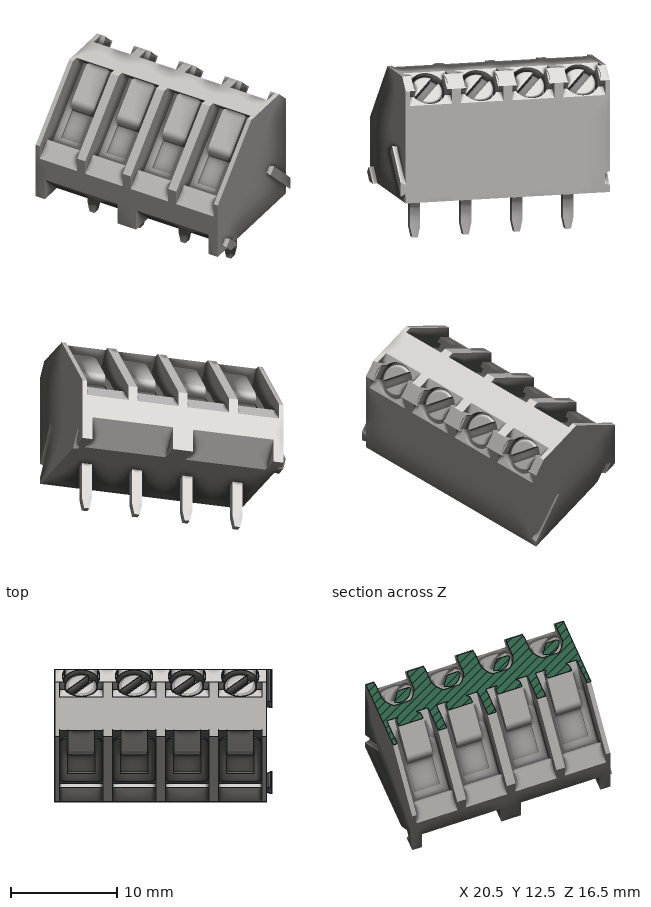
import cadquery as cq
import math

POLES = 4
POLES_PER_MODULE = 2
PITCH = 5.0
LENGTH = POLES * PITCH
DEPTH = 12.5
HEIGHT = 12.0
FRONT_SLOPE = 6.15
BACK_CHAMFER = 1.2
POCKET_WIDTH = 4.12
OVERCUT = 2.05

MODULE_LENGTH = POLES_PER_MODULE * PITCH
RELIEF_SIZE = 2.21
RELIEF_WALL = 1.0

LEDGE_DEPTH = 1.0
LIP_THICKNESS = 0.53
CAVITY_DEPTH = 2.3
CAVITY_START = 0.06
LIP_END = 0.95
POCKET_END = 9.12

PLATE_START = 0.62
PLATE_END = 6.4
PLATE_WIDTH = 3.98
PLATE_THICKNESS = 0.2
PLATE_TOP_RADIUS = 0.74
PLATE_BOTTOM_RADIUS = 0.5

WINDOW_START = 1.66
WINDOW_WIDTH = 2.6

BUTTON_START = 4.49
BUTTON_WIDTH = 2.5
BUTTON_HEIGHT = 1.02
BUTTON_NOSE_RADIUS = 0.88
BUTTON_CORNER_RADIUS = 0.35

NOTCH_DEPTH = 1.0
BORE_DIAMETER = 3.5
BORE_FLATS = 3.2
RIM_DEPTH = 0.16
HEAD_DEPTH = 1.2
HEAD_DIAMETER = 3.0
HEAD_FLAT_DIAMETER = 2.5
DRIVE_WIDTH = 0.86
DRIVE_DEPTH = 1.0
DRIVE_ANGLE = 45.0

PIN_WIDTH = 1.0
PIN_THICKNESS = 0.74
PIN_FRONT = 6.15
PIN_LENGTH = 4.5
PIN_TAPER_LENGTH = 1.07
PIN_TIP_WIDTH = 0.53
PIN_EMBED = 0.4

RAIL_HEIGHT = 0.5
RAIL_HEAD_WIDTH = 0.9
RAIL_NECK_WIDTH = 0.7
RAIL_NECK_HEIGHT = 0.15
RAIL_HEAD_HEIGHT = 0.12
RAIL_LENGTH = 6.55
RAIL_STARTS = [(9.2, 4.65), (1.1, 1.1)]

SLOPE_OUTWARD = cq.Vector(0, -1, 1)
SLOPE_UPWARD = cq.Vector(0, 1, 1)
CHAMFER_OUTWARD = cq.Vector(0, 1, 1)

POLE_CENTERS = [(pole + 0.5) * PITCH for pole in range(POLES)]


def make_housing():
    front_edge = HEIGHT - FRONT_SLOPE
    outline = [
        (0, 0),
        (DEPTH, 0),
        (DEPTH, HEIGHT - BACK_CHAMFER),
        (DEPTH - BACK_CHAMFER, HEIGHT),
        (FRONT_SLOPE, HEIGHT),
        (0, front_edge),
    ]
    return cq.Workplane("YZ").polyline(outline).close().extrude(LENGTH)


def make_relief(module):
    """Triangular prism that slopes from the front face back to the underside."""
    triangle = [(0, 0), (RELIEF_SIZE, 0), (0, RELIEF_SIZE)]
    start = module * MODULE_LENGTH + RELIEF_WALL
    width = MODULE_LENGTH - 2 * RELIEF_WALL
    return cq.Workplane("YZ", origin=(start, 0, 0)).polyline(triangle).close().extrude(width)


def slope_plane(x, depth=0.0):
    """Plane parallel to the front slope; local Y climbs from the slope's lower edge."""
    sink = depth / math.sqrt(2)
    origin = (x, sink, HEIGHT - FRONT_SLOPE - sink)
    return cq.Workplane(cq.Plane(origin=origin, xDir=(1, 0, 0), normal=SLOPE_OUTWARD))


def slope_block(x, width, start, end, top_depth, bottom_depth):
    """Block between two positions up the slope and two depths below it."""
    return (
        slope_plane(x, bottom_depth)
        .center(0, (start + end) / 2)
        .rect(width, end - start)
        .extrude(bottom_depth - top_depth)
    )


def make_wire_pocket(x):
    lip_bottom = LEDGE_DEPTH + LIP_THICKNESS
    mouth = slope_block(x, POCKET_WIDTH, -OVERCUT, POCKET_END, -OVERCUT, LEDGE_DEPTH)
    throat = slope_block(x, POCKET_WIDTH, LIP_END, POCKET_END, 0, lip_bottom)
    cavity = slope_block(x, POCKET_WIDTH, CAVITY_START, POCKET_END, lip_bottom, CAVITY_DEPTH)
    return mouth.union(throat).union(cavity)


def farthest(direction):
    """Selector for whatever lies farthest along a direction."""
    return cq.selectors.DirectionMinMaxSelector(direction)


def round_corners(block, end_direction, radius):
    """Round the two edges square to the slope at one end of a block."""
    square_to_slope = cq.selectors.ParallelDirSelector(SLOPE_OUTWARD)
    return block.faces(farthest(end_direction)).edges(square_to_slope).fillet(radius)


def make_plate(x):
    """Thin rounded plate on the pocket floor, with a window below the button."""
    plate_top = CAVITY_DEPTH - PLATE_THICKNESS
    plate = slope_block(x, PLATE_WIDTH, PLATE_START, PLATE_END, plate_top, CAVITY_DEPTH)
    plate = round_corners(plate, SLOPE_UPWARD, PLATE_TOP_RADIUS)
    plate = round_corners(plate, -SLOPE_UPWARD, PLATE_BOTTOM_RADIUS)
    window = slope_block(x, WINDOW_WIDTH, WINDOW_START, BUTTON_START, plate_top, CAVITY_DEPTH)
    return plate.cut(window)


def make_button(x):
    """Release button with a quarter-round nose and rounded upper corners."""
    top = CAVITY_DEPTH - BUTTON_HEIGHT
    button = slope_block(x, BUTTON_WIDTH, BUTTON_START, POCKET_END, top, CAVITY_DEPTH)
    button = round_corners(button, SLOPE_UPWARD, BUTTON_CORNER_RADIUS)
    nose = button.faces(farthest(-SLOPE_UPWARD)).edges(farthest(SLOPE_OUTWARD))
    return nose.fillet(BUTTON_NOSE_RADIUS)


def chamfer_plane(x, depth=0.0):
    """Plane parallel to the back chamfer, centred on it; local Y runs down the chamfer."""
    shift = BACK_CHAMFER / 2 + depth / math.sqrt(2)
    origin = (x, DEPTH - shift, HEIGHT - shift)
    return cq.Workplane(cq.Plane(origin=origin, xDir=(1, 0, 0), normal=CHAMFER_OUTWARD))


def make_screw_recess(x):
    """Flat-sided bore with a round rim, between two cross notches that leave a rib on the chamfer."""
    half_chamfer = BACK_CHAMFER / math.sqrt(2)
    bore_depth = HEAD_DEPTH + DRIVE_DEPTH
    round_bore = chamfer_plane(x, bore_depth).circle(BORE_DIAMETER / 2).extrude(bore_depth + OVERCUT)
    flats = chamfer_plane(x, bore_depth).rect(BORE_FLATS, BORE_DIAMETER).extrude(bore_depth + OVERCUT)
    rim = chamfer_plane(x, RIM_DEPTH).circle(BORE_DIAMETER / 2).extrude(RIM_DEPTH + OVERCUT)
    recess = round_bore.intersect(flats).union(rim)
    for side in (-1, 1):
        floor = chamfer_plane(x, NOTCH_DEPTH).center(0, side * (half_chamfer + OVERCUT / 2))
        recess = recess.union(floor.rect(POCKET_WIDTH, OVERCUT).extrude(NOTCH_DEPTH + OVERCUT))
    return recess


def make_screw_head(x):
    """Slotted screw head with a rounded rim, standing on the floor of the bore."""
    rim_radius = (HEAD_DIAMETER - HEAD_FLAT_DIAMETER) / 2
    floor = chamfer_plane(x, HEAD_DEPTH + DRIVE_DEPTH)
    head = floor.circle(HEAD_DIAMETER / 2).extrude(DRIVE_DEPTH)
    head = head.faces(farthest(CHAMFER_OUTWARD)).edges().fillet(rim_radius)
    drive = floor.transformed(rotate=(0, 0, DRIVE_ANGLE)).rect(2 * HEAD_DIAMETER, DRIVE_WIDTH)
    return head.cut(drive.extrude(DRIVE_DEPTH))


def make_pin(x):
    half_width = PIN_WIDTH / 2
    half_tip = PIN_TIP_WIDTH / 2
    shoulder = PIN_TAPER_LENGTH - PIN_LENGTH
    outline = [
        (x - half_width, PIN_EMBED),
        (x - half_width, shoulder),
        (x - half_tip, -PIN_LENGTH),
        (x + half_tip, -PIN_LENGTH),
        (x + half_width, shoulder),
        (x + half_width, PIN_EMBED),
    ]
    front = cq.Workplane("XZ", origin=(0, PIN_FRONT, 0))
    return front.polyline(outline).close().extrude(-PIN_THICKNESS)


def make_rail(x, start):
    """Rail falling at 45 degrees to the back, with a narrow neck at x and a wide head."""
    neck = RAIL_NECK_WIDTH / 2
    head = RAIL_HEAD_WIDTH / 2
    flare_end = RAIL_HEIGHT - RAIL_HEAD_HEIGHT
    section = [
        (0, neck),
        (RAIL_NECK_HEIGHT, neck),
        (flare_end, head),
        (RAIL_HEIGHT, head),
        (RAIL_HEIGHT, -head),
        (flare_end, -head),
        (RAIL_NECK_HEIGHT, -neck),
        (0, -neck),
    ]
    plane = cq.Plane(origin=(x, *start), xDir=(1, 0, 0), normal=(0, 1, -1))
    return cq.Workplane(plane).polyline(section).close().extrude(RAIL_LENGTH)


result = make_housing()
for module in range(POLES // POLES_PER_MODULE):
    result = result.cut(make_relief(module))

for center in POLE_CENTERS:
    result = result.cut(make_wire_pocket(center)).union(make_plate(center)).union(make_button(center))
    result = result.cut(make_screw_recess(center)).union(make_screw_head(center))
    result = result.union(make_pin(center))

tongue_space = cq.Workplane().box(LENGTH + RAIL_HEIGHT, DEPTH, HEIGHT, centered=False)
for rail_start in RAIL_STARTS:
    result = result.union(make_rail(LENGTH, rail_start).intersect(tongue_space))
    groove = make_rail(0, rail_start).mirror("YZ", (RAIL_HEIGHT / 2, 0, 0))
    result = result.cut(groove)